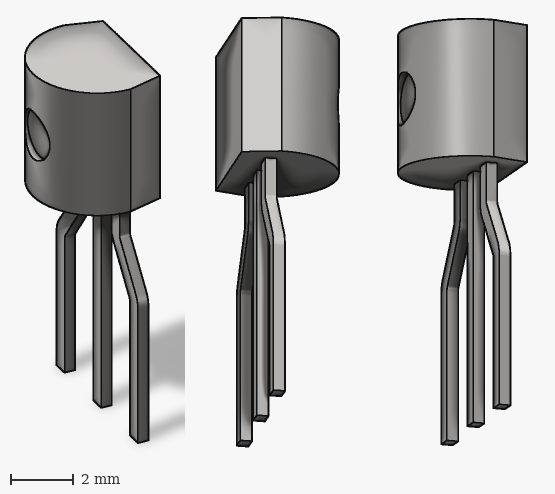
import cadquery as cq
import math


body_radius = 2.31
body_height = 4.5
back_depth = 1.24
back_taper_angle = 15.0

dimple_diameter = 1.71
dimple_depth = 0.25
dimple_height = body_height / 2

overall_height = 12.75
lead_length = overall_height - body_height
lead_width = 0.56
lead_thickness = 0.38
upper_pitch = 1.26
lower_pitch = 2.54
upper_bend_drop = 1.42
bend_angle = 36.2
inner_bend_radius = 0.25
outer_bend_radius = inner_bend_radius + lead_width


def make_body():
    """Half-round body with tapered sides and a flat back."""
    back_half_width = body_radius - back_depth * math.tan(math.radians(back_taper_angle))
    return (
        cq.Workplane("XY")
        .moveTo(-body_radius, 0)
        .threePointArc((0, -body_radius), (body_radius, 0))
        .lineTo(back_half_width, back_depth)
        .lineTo(-back_half_width, back_depth)
        .close()
        .extrude(body_height)
    )


def make_dimple():
    """Flat-floored round cutter reaching in from the front of the body."""
    return (
        cq.Workplane("XZ", origin=(0, -body_radius + dimple_depth, dimple_height))
        .circle(dimple_diameter / 2)
        .extrude(dimple_depth)
    )


def extrude_lead(outline):
    """Give a closed XZ outline the lead thickness, with its front face on Y = 0."""
    return outline.extrude(-lead_thickness)


def make_straight_lead():
    """Straight centre lead."""
    outline = cq.Workplane("XZ").center(0, -lead_length / 2).rect(lead_width, lead_length)
    return extrude_lead(outline)


def make_bent_lead():
    """Right-hand lead, splayed outwards between two bends of equal angle."""
    half_width = lead_width / 2
    angle = math.radians(bend_angle)
    lower_bend_drop = upper_bend_drop + (lower_pitch - upper_pitch) / math.tan(angle)
    corner_shift = half_width * math.tan(angle / 2)

    def edge_corners(side):
        return [
            (pitch + side * half_width, -drop + side * corner_shift)
            for pitch, drop in ((upper_pitch, upper_bend_drop), (lower_pitch, lower_bend_drop))
        ]

    outer_upper, outer_lower = edge_corners(1)
    inner_upper, inner_lower = edge_corners(-1)
    outline = cq.Workplane("XZ").polyline(
        [
            (upper_pitch + half_width, 0),
            outer_upper,
            outer_lower,
            (lower_pitch + half_width, -lead_length),
            (lower_pitch - half_width, -lead_length),
            inner_lower,
            inner_upper,
            (upper_pitch - half_width, 0),
        ]
    ).close()
    lead = extrude_lead(outline)

    bend_radii = (
        (outer_upper, inner_bend_radius),
        (inner_upper, outer_bend_radius),
        (outer_lower, outer_bend_radius),
        (inner_lower, inner_bend_radius),
    )
    for (x, z), radius in bend_radii:
        corner = cq.selectors.NearestToPointSelector((x, lead_thickness / 2, z))
        lead = lead.edges("|Y").edges(corner).fillet(radius)
    return lead


right_lead = make_bent_lead()
left_lead = right_lead.mirror("YZ")

result = (
    make_body()
    .cut(make_dimple())
    .union(make_straight_lead())
    .union(right_lead)
    .union(left_lead)
)